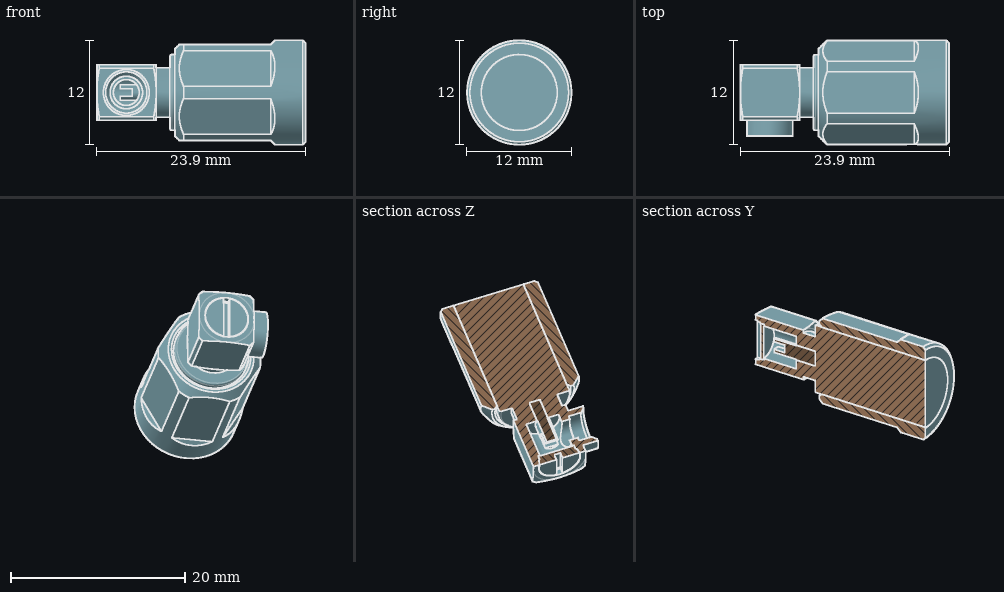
import cadquery as cq
import math


BLOCK_LENGTH = 6.8
BLOCK_WIDTH = 6.42
BLOCK_CORNER_RADIUS = 4.25
BLOCK_END_ANGLE = 15.0

NECK_RADIUS = 2.85
FLANGE_FRONT = 8.38
FLANGE_RADIUS = 4.35
FLANGE_FILLET = 0.22
OVERALL_LENGTH = 23.95

PORT_X = 3.38
PORT_RADIUS = 2.63
PORT_LENGTH = 1.8
PORT_MOUTH_RADIUS = 2.37
PORT_BORE_RADIUS = 1.87
PORT_BORE_DEPTH = 2.0
PORT_HOLE_RADIUS = 1.48

CAVITY_RADIUS = 2.05
CAVITY_END = 5.75
CAP_RADIUS = 2.55
CAP_TAPER_RADIUS = 2.37
CAP_PLUG_RADIUS = 2.25
CAP_BEVEL = CAP_TAPER_RADIUS - CAP_PLUG_RADIUS
CAP_THICKNESS = 1.2
CAP_EDGE_CHAMFER = 0.05
CAP_SLOT_WIDTH = 0.7
CAP_SLOT_DEPTH = 0.72

PIN_RADIUS = 0.9
PIN_FRONT = 2.65
PIN_END = FLANGE_FRONT
PIN_SLOT_WIDTH = 0.9
PIN_SLOT_DEPTH = 1.41

NUT_FRONT = 8.95
NUT_DIAMETER = 12.0
NUT_RADIUS = NUT_DIAMETER / 2
NUT_FRONT_CHAMFER = 0.98
NUT_REAR_CHAMFER = 0.34
NUT_COUNTERSINK = 0.29
FLAT_COUNT = 6
FLAT_DISTANCE = 5.5
FLAT_CUT_MARGIN = 0.25
FLAT_END = 19.93

BLOCK_SIDE = BLOCK_WIDTH / 2


def revolve_about_x(profile):
    """Turn a closed outline of (x, radius) points about the X axis."""
    return cq.Workplane("XY").polyline(profile).close().revolve(360, (0, 0, 0), (1, 0, 0))


def cylinder_x(radius, start, end):
    return cq.Workplane("YZ").workplane(offset=start).circle(radius).extrude(end - start)


def block():
    """Square bar trimmed by a turned shape with conical ends."""
    bar = cq.Workplane("XY").box(BLOCK_LENGTH, BLOCK_WIDTH, BLOCK_WIDTH, centered=(False, True, True))
    end_depth = (BLOCK_CORNER_RADIUS - BLOCK_SIDE) * math.tan(math.radians(BLOCK_END_ANGLE))
    turned = revolve_about_x([
        (0, 0),
        (0, BLOCK_SIDE),
        (end_depth, BLOCK_CORNER_RADIUS),
        (BLOCK_LENGTH - end_depth, BLOCK_CORNER_RADIUS),
        (BLOCK_LENGTH, BLOCK_SIDE),
        (BLOCK_LENGTH, 0),
    ])
    return bar.intersect(turned)


def flanged_sleeve():
    """Rounded flange that continues as a plain sleeve through the nut."""
    return cylinder_x(FLANGE_RADIUS, FLANGE_FRONT, OVERALL_LENGTH).faces("<X").edges().fillet(FLANGE_FILLET)


def port_tube():
    tip = BLOCK_SIDE + PORT_LENGTH
    return cq.Workplane("XZ").center(PORT_X, 0).circle(PORT_RADIUS).extrude(tip)


def port_bore():
    """Conical mouth, counterbore and hole, turned about the port axis."""
    tip = -(BLOCK_SIDE + PORT_LENGTH)
    mouth_depth = PORT_MOUTH_RADIUS - PORT_BORE_RADIUS
    return (
        cq.Workplane("XY")
        .polyline([
            (PORT_X, tip),
            (PORT_X + PORT_MOUTH_RADIUS, tip),
            (PORT_X + PORT_BORE_RADIUS, tip + mouth_depth),
            (PORT_X + PORT_BORE_RADIUS, tip + PORT_BORE_DEPTH),
            (PORT_X + PORT_HOLE_RADIUS, tip + PORT_BORE_DEPTH),
            (PORT_X + PORT_HOLE_RADIUS, 0),
            (PORT_X, 0),
        ])
        .close()
        .revolve(360, (PORT_X, 0, 0), (PORT_X, 1, 0))
    )


def cap_blank():
    """Tapered plug that also shapes its seat in the block."""
    return revolve_about_x([
        (0, 0),
        (0, CAP_RADIUS),
        (CAP_SLOT_DEPTH - CAP_BEVEL, CAP_TAPER_RADIUS),
        (CAP_SLOT_DEPTH, CAP_PLUG_RADIUS),
        (CAP_THICKNESS, CAP_PLUG_RADIUS),
        (CAP_THICKNESS, 0),
    ])


def make_elbow():
    neck = cylinder_x(NECK_RADIUS, BLOCK_LENGTH, FLANGE_FRONT)
    solid = block().union(neck).union(flanged_sleeve()).union(port_tube())
    cavity = cylinder_x(CAVITY_RADIUS, CAP_THICKNESS, CAVITY_END)
    pin_hole = cylinder_x(PIN_RADIUS, CAVITY_END, PIN_END)
    return solid.cut(cap_blank()).cut(cavity).cut(port_bore()).cut(pin_hole)


def make_cap():
    """Closing cap with a screwdriver slot along Z."""
    slot = cq.Workplane("XY").box(
        CAP_SLOT_DEPTH, CAP_SLOT_WIDTH, 2 * CAP_RADIUS, centered=(False, True, True)
    )
    return cap_blank().faces("<X").edges().chamfer(CAP_EDGE_CHAMFER).cut(slot)


def make_pin():
    """Contact pin with a slotted end that is open along Y."""
    slot = (
        cq.Workplane("XY")
        .box(PIN_SLOT_DEPTH, 2 * PIN_RADIUS, PIN_SLOT_WIDTH, centered=(False, True, True))
        .translate((PIN_FRONT, 0, 0))
    )
    return cylinder_x(PIN_RADIUS, PIN_FRONT, PIN_END).cut(slot)


def flat_cutter():
    """Material above one flat, ending in a 45 degree run-out."""
    height = NUT_RADIUS - FLAT_DISTANCE + FLAT_CUT_MARGIN
    top = FLAT_DISTANCE + height
    return (
        cq.Workplane("XZ")
        .polyline([
            (NUT_FRONT, FLAT_DISTANCE),
            (FLAT_END, FLAT_DISTANCE),
            (FLAT_END + height, top),
            (NUT_FRONT, top),
        ])
        .close()
        .extrude(NUT_RADIUS, both=True)
    )


def make_nut():
    nut = revolve_about_x([
        (NUT_FRONT, FLANGE_RADIUS + NUT_COUNTERSINK),
        (NUT_FRONT, NUT_RADIUS - NUT_FRONT_CHAMFER),
        (NUT_FRONT + NUT_FRONT_CHAMFER, NUT_RADIUS),
        (OVERALL_LENGTH - NUT_REAR_CHAMFER, NUT_RADIUS),
        (OVERALL_LENGTH, NUT_RADIUS - NUT_REAR_CHAMFER),
        (OVERALL_LENGTH, FLANGE_RADIUS),
        (NUT_FRONT + NUT_COUNTERSINK, FLANGE_RADIUS),
    ])
    for i in range(FLAT_COUNT):
        nut = nut.cut(flat_cutter().rotate((0, 0, 0), (1, 0, 0), i * 360 / FLAT_COUNT))
    return nut


elbow = make_elbow()
cap = make_cap()
pin = make_pin()
nut = make_nut()

result = cq.Compound.makeCompound([elbow.val(), cap.val(), pin.val(), nut.val()])